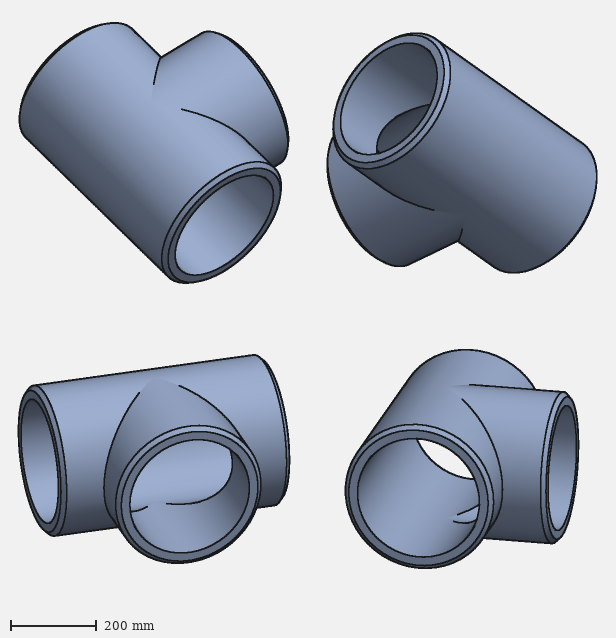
import cadquery as cq

run_length = 559.0
branch_reach = run_length / 2
outer_diameter = 355.5
bore_diameter = 292.0
bevel = 10.5


def run_cylinder(diameter):
    """Cylinder along X, centred on the origin."""
    return cq.Workplane("YZ").circle(diameter / 2).extrude(run_length / 2, both=True)


def branch_cylinder(diameter):
    """Cylinder from the run axis to the branch end face."""
    return cq.Workplane("XZ").circle(diameter / 2).extrude(-branch_reach)


run_body = run_cylinder(outer_diameter).faces("<X or >X").edges().chamfer(bevel)
branch_body = branch_cylinder(outer_diameter).faces(">Y").edges().chamfer(bevel)

bores = run_cylinder(bore_diameter).union(branch_cylinder(bore_diameter))

result = run_body.union(branch_body).cut(bores)